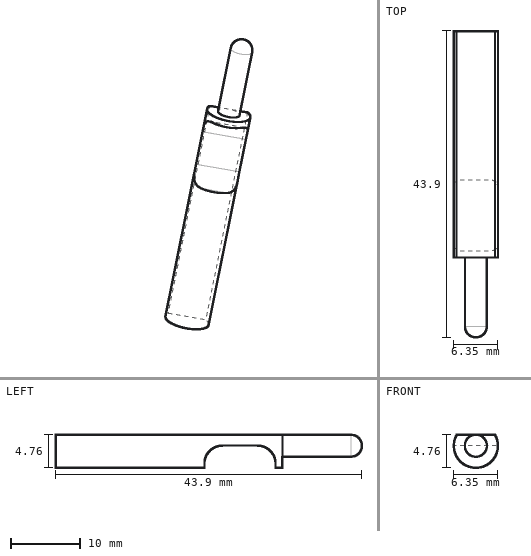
import cadquery as cq

overall_length = 43.89
bar_diameter = 6.35
pin_diameter = bar_diameter / 2
pin_length = 11.43
notch_length = 10.16
notch_corner_radius = 2.54
front_lip_thickness = 0.98

bar_radius = bar_diameter / 2
pin_radius = pin_diameter / 2
bar_length = overall_length - pin_length
flat_height = pin_radius
notch_center_y = front_lip_thickness + notch_length / 2


def make_bar():
    """Round bar along Y with a flat cut along its full top side."""
    bar = cq.Workplane("XZ").circle(bar_radius).extrude(-bar_length)
    keep_below_flat = cq.Workplane("XY").box(
        bar_diameter, bar_length, bar_radius + flat_height, centered=(True, False, False)
    ).translate((0, 0, -bar_radius))
    return bar.intersect(keep_below_flat)


def make_pin():
    """Cylindrical pin with a hemispherical tip."""
    shank_length = pin_length - pin_radius
    shank = cq.Workplane("XZ").circle(pin_radius).extrude(shank_length)
    tip = cq.Workplane("XY").sphere(pin_radius).translate((0, -shank_length, 0))
    return shank.union(tip)


def make_notch():
    """Cutter for the notch across the underside, reaching up to the centreline."""
    block = cq.Workplane("XY").box(
        bar_diameter, notch_length, bar_radius, centered=(True, True, False)
    )
    rounded_block = block.faces(">Z").edges("|X").fillet(notch_corner_radius)
    return rounded_block.translate((0, notch_center_y, -bar_radius))


result = make_bar().cut(make_notch()).union(make_pin())